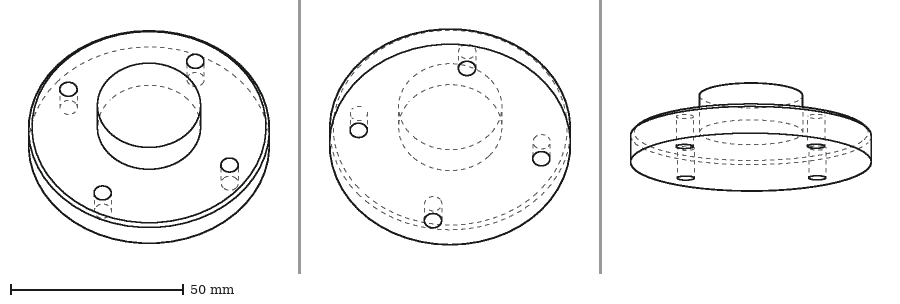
import cadquery as cq

flange_diameter = 70.0
flange_thickness = 9.0
rim_chamfer = 1.0

boss_diameter = 30.0
overall_height = 20.0
boss_height = overall_height - flange_thickness

hole_diameter = 5.0
hole_circle_diameter = 54.0
hole_count = 4


def make_flange():
    """Disc resting on Z = 0, with its upper rim chamfered."""
    disc = cq.Workplane("XY").circle(flange_diameter / 2).extrude(flange_thickness)
    return disc.faces(">Z").edges().chamfer(rim_chamfer)


def add_boss(body):
    """Solid cylindrical boss centred on top of the flange."""
    return body.faces(">Z").workplane().circle(boss_diameter / 2).extrude(boss_height)


def cut_mounting_holes(body):
    """Through holes evenly spaced around the flange, the first on +X."""
    holes = (
        cq.Workplane("XY")
        .polarArray(hole_circle_diameter / 2, 0, 360, hole_count)
        .circle(hole_diameter / 2)
        .extrude(flange_thickness)
    )
    return body.cut(holes)


result = cut_mounting_holes(add_boss(make_flange()))